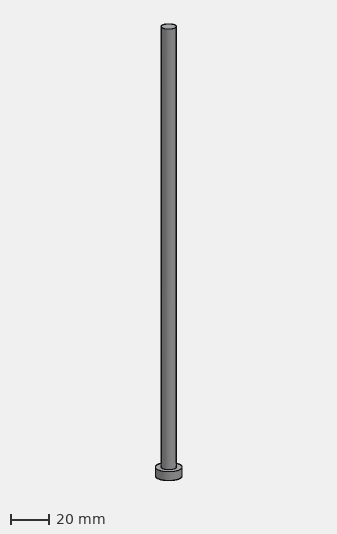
import cadquery as cq

total_length = 250.0
head_diameter = 14.0
head_height = 5.0
shaft_diameter = 8.0

bottom_z = -total_length / 2


def cylinder(diameter, height):
    """Cylinder on the Z axis, rising from the bottom of the pin."""
    return cq.Workplane("XY").workplane(offset=bottom_z).circle(diameter / 2).extrude(height)


head = cylinder(head_diameter, head_height)
shaft = cylinder(shaft_diameter, total_length)

result = head.union(shaft)